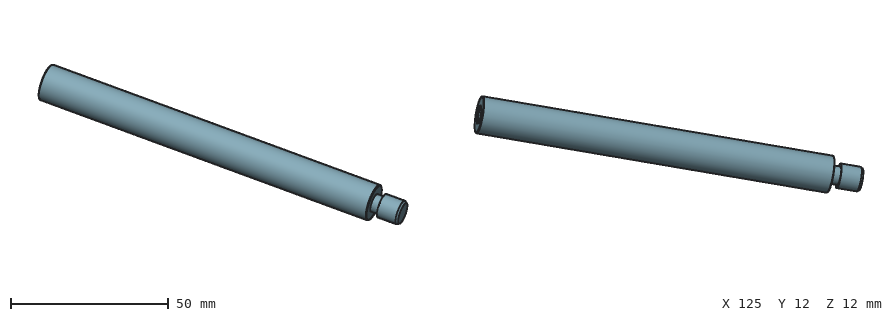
import cadquery as cq
import math

total_length = 125.0
body_length = 115.0
body_diameter = 12.0
body_chamfer = 0.2

neck_length = 2.8
neck_diameter = 6.0
stud_diameter = 8.0
tip_chamfer_length = 0.8
tip_chamfer_depth = 0.5

hole_diameter = 5.2
hole_mouth_diameter = 6.0
hole_depth = 15.0
drill_point_angle = 118.0

start_x = -total_length / 2
end_x = total_length / 2
shoulder_x = start_x + body_length


def make_rod():
    """Revolve the outer half profile about the X axis."""
    body_radius = body_diameter / 2
    neck_radius = neck_diameter / 2
    stud_radius = stud_diameter / 2
    stud_x = shoulder_x + neck_length
    profile = [
        (start_x, 0),
        (start_x, body_radius - body_chamfer),
        (start_x + body_chamfer, body_radius),
        (shoulder_x - body_chamfer, body_radius),
        (shoulder_x, body_radius - body_chamfer),
        (shoulder_x, neck_radius),
        (stud_x, neck_radius),
        (stud_x, stud_radius),
        (end_x - tip_chamfer_length, stud_radius),
        (end_x, stud_radius - tip_chamfer_depth),
        (end_x, 0),
    ]
    return cq.Workplane("XY").polyline(profile).close().revolve(360, (0, 0), (1, 0))


def make_hole():
    """Revolve the hole: 45 degree mouth chamfer, straight bore, conical drill point."""
    hole_radius = hole_diameter / 2
    mouth_radius = hole_mouth_diameter / 2
    bore_end_x = start_x + hole_depth
    point_length = hole_radius / math.tan(math.radians(drill_point_angle / 2))
    profile = [
        (start_x, 0),
        (start_x, mouth_radius),
        (start_x + mouth_radius - hole_radius, hole_radius),
        (bore_end_x, hole_radius),
        (bore_end_x + point_length, 0),
    ]
    return cq.Workplane("XY").polyline(profile).close().revolve(360, (0, 0), (1, 0))


result = make_rod().cut(make_hole())